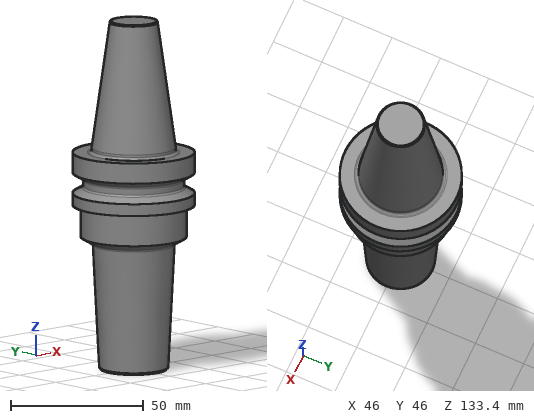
import cadquery as cq
import math

total_height = 133.4
flange_bottom = 63.0
flange_top = 83.1
collar_bottom = 50.8
gauge_height = 85.0

flange_radius = 23.01
collar_radius = 20.0
nose_top_radius = 15.5
nose_tip_radius = 13.1
gauge_radius = 15.9
shank_tip_radius = 9.1

nose_chamfer = 0.8
tip_chamfer_height = 0.5
tip_chamfer_width = 0.4
collar_slope_angle = 30.0
collar_slope_height = (collar_radius - nose_top_radius) * math.tan(math.radians(collar_slope_angle))
collar_root_height = collar_bottom - collar_slope_height
collar_root_fillet = 1.0
edge_tolerance = 0.01

groove_top = 75.4
groove_bottom = 67.5
groove_radius = 19.1
groove_flank_angle = 30.0
groove_root_fillet = 1.0
groove_flank_height = (flange_radius - groove_radius) * math.tan(math.radians(groove_flank_angle))

relief_outer_radius = 17.5
relief_depth = 0.1
relief_fillet = 1.1
relief_floor = flange_top - relief_depth


def make_body():
    """Revolve the holder: nose, collar, flange and taper shank."""
    body = (
        cq.Workplane("XZ")
        .moveTo(0, 0)
        .lineTo(nose_tip_radius - nose_chamfer, 0)
        .lineTo(nose_tip_radius, nose_chamfer)
        .lineTo(nose_top_radius, collar_root_height)
        .lineTo(collar_radius, collar_bottom)
        .lineTo(collar_radius, flange_bottom)
        .lineTo(flange_radius, flange_bottom)
        .lineTo(flange_radius, flange_top)
        .lineTo(relief_outer_radius, flange_top)
        .lineTo(gauge_radius + relief_fillet, relief_floor)
        .radiusArc((gauge_radius, relief_floor + relief_fillet), relief_fillet)
        .lineTo(gauge_radius, gauge_height)
        .lineTo(shank_tip_radius, total_height - tip_chamfer_height)
        .lineTo(shank_tip_radius - tip_chamfer_width, total_height)
        .lineTo(0, total_height)
        .close()
        .revolve(360, (0, 0, 0), (0, 1, 0))
    )
    root_edge = body.edges("%CIRCLE").filter(
        lambda edge: abs(edge.startPoint().z - collar_root_height) < edge_tolerance
    )
    return root_edge.fillet(collar_root_fillet)


def make_gripper_groove():
    """Ring to remove from the flange, with rounded root corners."""
    ring = (
        cq.Workplane("XZ")
        .moveTo(flange_radius, groove_bottom)
        .lineTo(groove_radius, groove_bottom + groove_flank_height)
        .lineTo(groove_radius, groove_top - groove_flank_height)
        .lineTo(flange_radius, groove_top)
        .close()
        .revolve(360, (0, 0, 0), (0, 1, 0))
    )
    root_edges = cq.selectors.RadiusNthSelector(0)
    return ring.edges("%CIRCLE").edges(root_edges).fillet(groove_root_fillet)


result = make_body().cut(make_gripper_groove())